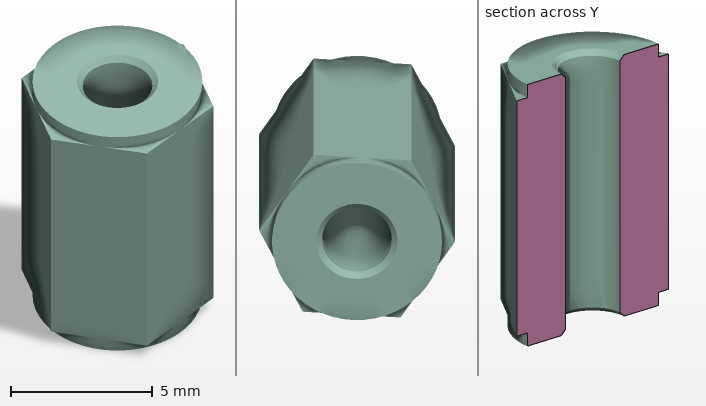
import cadquery as cq
import math

total_height = 10.0
across_flats = 6.0
collar_height = 0.5
bore_diameter = 2.46
chamfer_size = 0.2

across_corners = across_flats / math.cos(math.radians(30))
hex_height = total_height - 2 * collar_height

core = cq.Workplane("XY").circle(across_flats / 2).extrude(total_height)

hex_body = (
    cq.Workplane("XY")
    .workplane(offset=collar_height)
    .polygon(6, across_corners)
    .extrude(hex_height)
)

bore = cq.Workplane("XY").circle(bore_diameter / 2).extrude(total_height)
body = core.union(hex_body).cut(bore)
mouth_edges = cq.selectors.RadiusNthSelector(0)
result = body.faces("<Z or >Z").edges(mouth_edges).chamfer(chamfer_size)